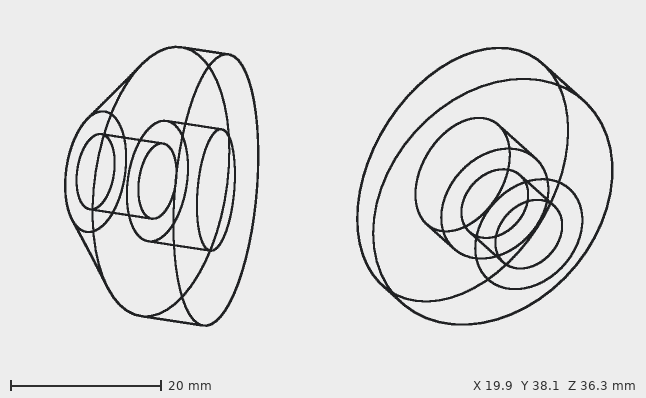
import cadquery as cq
import math

tilt = 12.4
rim_diameter = 36.3
nose_diameter = 16.25
bore_diameter = 10.15
bore_length = 9.53
recess_diameter = nose_diameter
overall_width = 38.12
overall_depth = 19.85

tilt_radians = math.radians(tilt)
rim_radius = rim_diameter / 2
nose_radius = nose_diameter / 2
axis_length = (overall_depth - nose_radius * math.sin(tilt_radians)) / math.cos(tilt_radians)
back_edge_offset = rim_radius / math.cos(tilt_radians)
rim_edge_offset = overall_width - back_edge_offset
rim_to_back = (rim_edge_offset - rim_radius * math.cos(tilt_radians)) / math.sin(tilt_radians)
cone_height = axis_length - rim_to_back
blank_length = axis_length + rim_radius


def body_of_revolution():
    """Cone and cylinder around X, nose at the origin, bored and recessed from the back."""
    bore_radius = bore_diameter / 2
    recess_radius = recess_diameter / 2
    profile = [
        (0, bore_radius),
        (0, nose_radius),
        (cone_height, rim_radius),
        (blank_length, rim_radius),
        (blank_length, recess_radius),
        (bore_length, recess_radius),
        (bore_length, bore_radius),
    ]
    return cq.Workplane("XY").polyline(profile).close().revolve(360, (0, 0, 0), (1, 0, 0))


def behind_back_plane():
    """Block filling everything beyond the flat back at X = 0."""
    size = 2 * (blank_length + overall_width)
    return cq.Workplane("XY").box(size, size, size, centered=(False, True, True))


body = body_of_revolution().translate((-axis_length, 0, 0))
body = body.rotate((0, 0, 0), (0, 0, 1), -tilt)
result = body.cut(behind_back_plane())